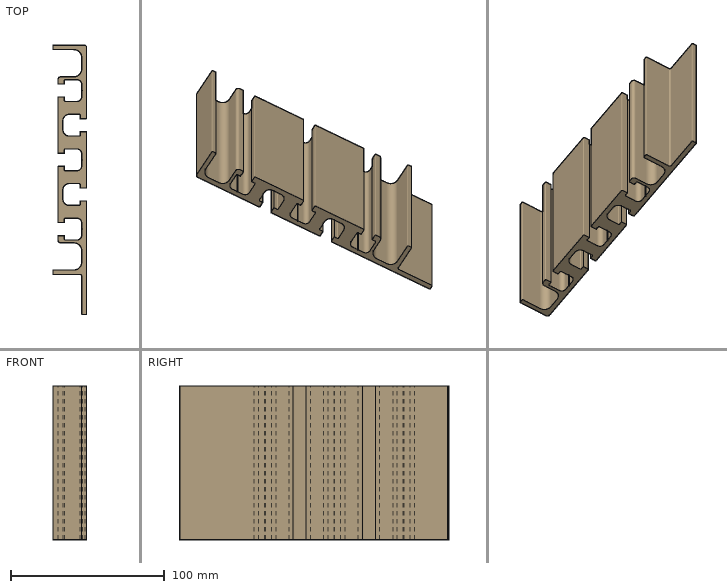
import cadquery as cq


LENGTH = 100.0
DEPTH = 22.0
WIDTH = 175.0

WALL = 3.3
FLANGE_HALF_SPAN = 74.5
FLANGE_THICKNESS = 3.0
BODY_HALF_WIDTH = 54.0
BODY_FACE_X = 3.3
PLATE_TOP_Y = FLANGE_HALF_SPAN
PLATE_BOTTOM_Y = PLATE_TOP_Y - WIDTH
PLATE_FACE_X = DEPTH - WALL

SLOT_PITCH = 22.5
SLOT_WIDTH = 14.0
MOUTH_WIDTH = 8.3
LIP_THICKNESS = 4.25
FRONT_SLOT_STEPS = (-2, 0, 2)
BACK_SLOT_STEPS = (-1, 1)
SLOT_DEPTH = DEPTH - BODY_FACE_X - WALL
MARK_WIDTH = 0.6
MARK_DEPTH = 0.5

PLATE_CORNER_CHAMFER = 1.0
CHANNEL_RADIUS = 5.0
BODY_CORNER_RADIUS = 2.0
EDGE_RADIUS = 0.5
ROOT_RADIUS = 1.0
FRONT_SLOT_RADIUS = 3.0
BACK_SLOT_RADIUS = 4.0
LIP_CORNER_RADIUS = 0.5


def block(x_min, x_max, y_min, y_max):
    """Full-length bar with the given X and Y limits."""
    return (
        cq.Workplane("XY")
        .rect(x_max - x_min, y_max - y_min)
        .extrude(LENGTH)
        .translate(((x_min + x_max) / 2, (y_min + y_max) / 2, 0))
    )


def round_edges(solid, radius, points):
    """Fillet the lengthwise edges that pass through the given XY points."""
    for x, y in points:
        edge = cq.selectors.NearestToPointSelector((x, y, LENGTH / 2))
        solid = solid.edges(edge).fillet(radius)
    return solid


def make_blank():
    """Back plate with two flanges and the solid body between them."""
    flange_inner_y = FLANGE_HALF_SPAN - FLANGE_THICKNESS
    blank = block(PLATE_FACE_X, DEPTH, PLATE_BOTTOM_Y, PLATE_TOP_Y)
    blank = blank.union(block(BODY_FACE_X, DEPTH, -BODY_HALF_WIDTH, BODY_HALF_WIDTH))
    blank = blank.union(block(0, DEPTH, flange_inner_y, FLANGE_HALF_SPAN))
    blank = blank.union(block(0, DEPTH, -FLANGE_HALF_SPAN, -flange_inner_y))

    channel_corners = []
    body_corners = []
    flange_tips = []
    for side in (-1, 1):
        channel_corners.append((PLATE_FACE_X, side * BODY_HALF_WIDTH))
        channel_corners.append((PLATE_FACE_X, side * flange_inner_y))
        body_corners.append((BODY_FACE_X, side * BODY_HALF_WIDTH))
        flange_tips.append((0, side * flange_inner_y))
        flange_tips.append((0, side * FLANGE_HALF_SPAN))
    plate_end = [(PLATE_FACE_X, PLATE_BOTTOM_Y), (DEPTH, PLATE_BOTTOM_Y)]

    blank = round_edges(blank, CHANNEL_RADIUS, channel_corners)
    blank = round_edges(blank, BODY_CORNER_RADIUS, body_corners)
    blank = round_edges(blank, EDGE_RADIUS, flange_tips + plate_end)
    blank = round_edges(blank, ROOT_RADIUS, [(PLATE_FACE_X, -FLANGE_HALF_SPAN)])
    plate_corner = cq.selectors.NearestToPointSelector((DEPTH, PLATE_TOP_Y, LENGTH / 2))
    return blank.edges(plate_corner).chamfer(PLATE_CORNER_CHAMFER)


def slot_cutter(floor_radius):
    """T-slot opening at X = 0 and running toward +X, centred on Y = 0."""
    chamber = block(LIP_THICKNESS, SLOT_DEPTH, -SLOT_WIDTH / 2, SLOT_WIDTH / 2)
    chamber = chamber.edges("|Z and >X").fillet(floor_radius)
    chamber = chamber.edges("|Z and <X").fillet(LIP_CORNER_RADIUS)
    return chamber.union(block(0, LIP_THICKNESS, -MOUTH_WIDTH / 2, MOUTH_WIDTH / 2))


def centre_mark():
    """V-groove along the middle of a slot floor."""
    return (
        cq.Workplane("XY")
        .moveTo(SLOT_DEPTH, -MARK_WIDTH / 2)
        .lineTo(SLOT_DEPTH + MARK_DEPTH, 0)
        .lineTo(SLOT_DEPTH, MARK_WIDTH / 2)
        .close()
        .extrude(LENGTH)
    )


def cut_slots(solid):
    """Cut the slots of both faces and round the edges of their mouths."""
    front_slot = slot_cutter(FRONT_SLOT_RADIUS).union(centre_mark())
    back_slot = slot_cutter(BACK_SLOT_RADIUS).mirror("YZ")
    mouth_edges = []
    for cutter, face_x, steps in (
        (front_slot, BODY_FACE_X, FRONT_SLOT_STEPS),
        (back_slot, DEPTH, BACK_SLOT_STEPS),
    ):
        for step in steps:
            centre_y = step * SLOT_PITCH
            solid = solid.cut(cutter.translate((face_x, centre_y, 0)))
            mouth_edges.append((face_x, centre_y - MOUTH_WIDTH / 2))
            mouth_edges.append((face_x, centre_y + MOUTH_WIDTH / 2))
    return round_edges(solid, EDGE_RADIUS, mouth_edges)


result = cut_slots(make_blank())